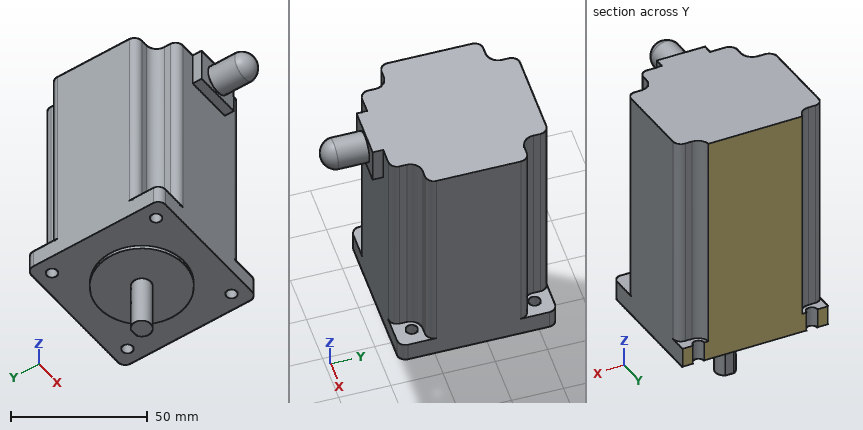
import cadquery as cq

total_height = 118.5
total_depth = 81.5
width = 60.5

flange_thickness = 8.0
flange_corner_radius = 3.2
hole_spacing = 47.0
hole_diameter = 4.5

pilot_diameter = 38.2
pilot_height = 1.5
shaft_diameter = 8.0
shaft_length = 22.5
flat_depth = 0.41
flat_offset = 7.5

notch_size = 10.8
notch_inner_radius = 4.7
notch_outer_radius = 3.3

outlet_width = 20.0
outlet_height = 15.0
outlet_depth = 4.0
gland_diameter = 12.0
dome_height = 5.0

body_top = total_height - shaft_length - pilot_height
body_height = body_top - flange_thickness
half_width = width / 2
pilot_face = -pilot_height
shaft_end = pilot_face - shaft_length


def make_flange():
    plate = cq.Workplane("XY").rect(width, width).extrude(flange_thickness)
    plate = plate.edges("|Z").fillet(flange_corner_radius)
    holes = (
        cq.Workplane("XY")
        .rect(hole_spacing, hole_spacing, forConstruction=True)
        .vertices()
        .circle(hole_diameter / 2)
        .extrude(flange_thickness)
    )
    return plate.cut(holes)


def make_body():
    """Square prism with rounded notches at its four corners."""
    base = cq.Workplane("XY").workplane(offset=flange_thickness)
    inner_width = width - 2 * notch_size
    body = base.rect(width, inner_width).extrude(body_height)
    body = body.union(base.rect(inner_width, width).extrude(body_height))

    inner_half = inner_width / 2
    selection_half = inner_half + notch_size / 2
    inner_edges = cq.selectors.BoxSelector(
        (-selection_half, -selection_half, 0),
        (selection_half, selection_half, body_top),
    )
    vertical_edges = body.edges("|Z")
    inner_corners = vertical_edges.edges(inner_edges)
    body = inner_corners.fillet(notch_inner_radius)

    outer_corners = body.faces("<X or >X or <Y or >Y").edges("|Z")
    return outer_corners.fillet(notch_outer_radius)


def make_shaft():
    """Locating pilot and round shaft, with a shallow flat on the +Y side."""
    pilot = cq.Workplane("XY").circle(pilot_diameter / 2).extrude(-pilot_height)
    shaft = (
        cq.Workplane("XY")
        .workplane(offset=pilot_face)
        .circle(shaft_diameter / 2)
        .extrude(-shaft_length)
    )
    flat_cut = (
        cq.Workplane("XY")
        .workplane(offset=shaft_end)
        .center(0, shaft_diameter / 2)
        .rect(shaft_diameter, 2 * flat_depth)
        .extrude(shaft_length - flat_offset)
    )
    return pilot.union(shaft.cut(flat_cut))


def make_cable_outlet():
    """Block on the -Y face carrying a cylindrical gland with a domed end."""
    outlet_face = half_width + outlet_depth
    block = cq.Workplane("XY").box(
        outlet_width, outlet_face, outlet_height, centered=(True, False, False)
    )
    block = block.translate((0, -outlet_face, body_top - outlet_height))

    gland_radius = gland_diameter / 2
    gland_tip = half_width - total_depth
    dome_base = gland_tip + dome_height
    dome_radius = (gland_radius**2 + dome_height**2) / (2 * dome_height)
    dome_center = gland_tip + dome_radius
    mid_offset = dome_radius * 0.5**0.5
    gland = (
        cq.Workplane("XY")
        .moveTo(0, -outlet_face)
        .lineTo(gland_radius, -outlet_face)
        .lineTo(gland_radius, dome_base)
        .threePointArc((mid_offset, dome_center - mid_offset), (0, gland_tip))
        .close()
        .revolve(360, (0, 0), (0, 1))
        .translate((0, 0, body_top - outlet_height / 2))
    )
    return block.union(gland)


result = make_flange().union(make_body()).union(make_shaft()).union(make_cable_outlet())